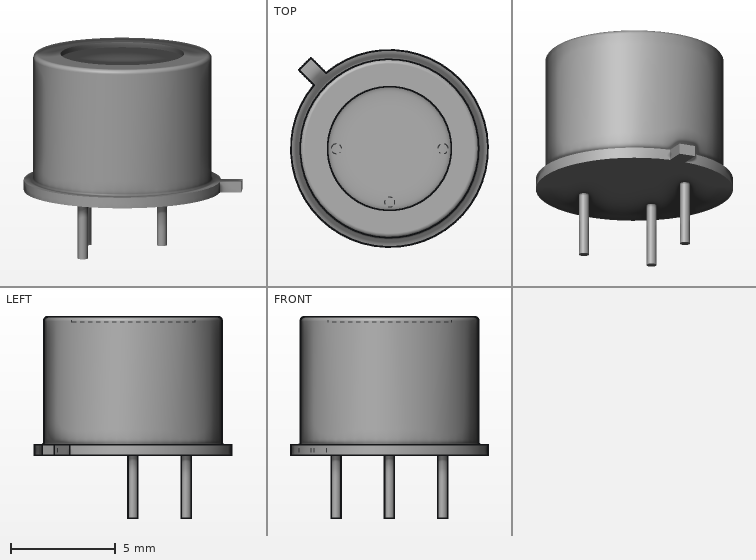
import cadquery as cq

flange_diameter = 9.4
flange_thickness = 0.51

can_diameter = 8.5
can_height = 6.1
can_top_z = flange_thickness + can_height
top_edge_radius = 0.2
foot_radius = 0.1

window_diameter = 5.9
window_depth = 0.25

tab_width = 0.82
tab_reach = 5.7
tab_angle = 135

lead_diameter = 0.48
lead_length = 3.0
lead_circle_radius = 2.54
lead_angles = (180, 270, 360)


def make_can():
    """Flange and can as one revolved body, with rounded top edge and foot."""
    flange_radius = flange_diameter / 2
    can_radius = can_diameter / 2
    return (
        cq.Workplane("XZ")
        .lineTo(flange_radius, 0)
        .lineTo(flange_radius, flange_thickness)
        .lineTo(can_radius + foot_radius, flange_thickness)
        .radiusArc((can_radius, flange_thickness + foot_radius), foot_radius)
        .lineTo(can_radius, can_top_z - top_edge_radius)
        .radiusArc((can_radius - top_edge_radius, can_top_z), -top_edge_radius)
        .lineTo(0, can_top_z)
        .close()
        .revolve(360, (0, 0, 0), (0, 1, 0))
    )


def make_tab():
    """Radial bar from the part axis, as thick as the flange."""
    return (
        cq.Workplane("XY")
        .box(tab_reach, tab_width, flange_thickness, centered=(False, True, False))
        .rotate((0, 0, 0), (0, 0, 1), tab_angle)
    )


def make_window():
    """Cutter for the window recess."""
    return (
        cq.Workplane("XY")
        .workplane(offset=can_top_z - window_depth)
        .circle(window_diameter / 2)
        .extrude(window_depth)
    )


def make_lead(angle):
    """One lead, hanging from the flange underside at the given angle."""
    return (
        cq.Workplane("XY")
        .center(lead_circle_radius, 0)
        .circle(lead_diameter / 2)
        .extrude(-lead_length)
        .rotate((0, 0, 0), (0, 0, 1), angle)
    )


result = make_can().union(make_tab()).cut(make_window())
for lead_angle in lead_angles:
    result = result.union(make_lead(lead_angle))